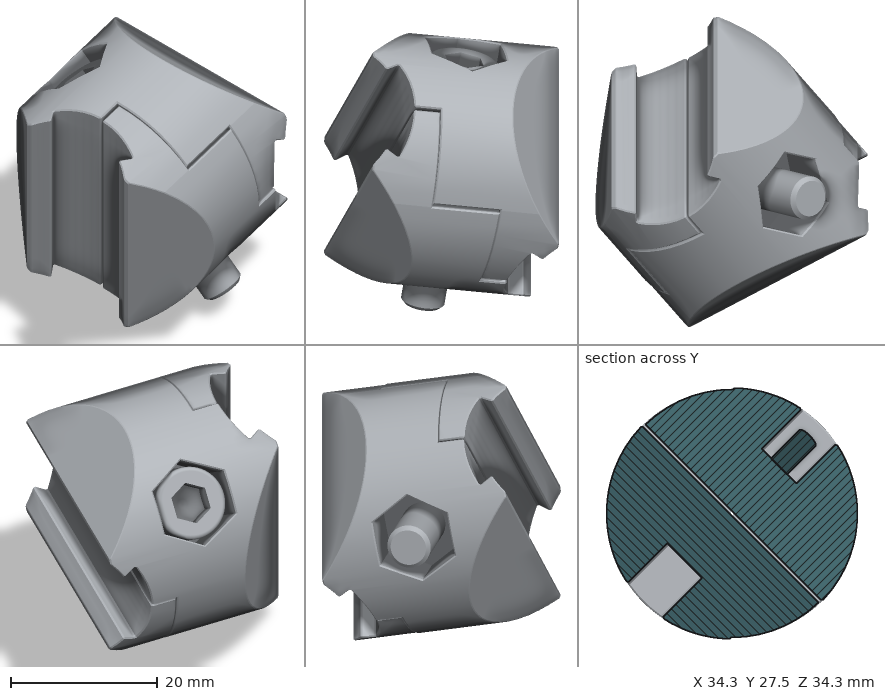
import cadquery as cq
import math

barrel_radius = 17.15
barrel_length = 27.5
half_length = barrel_length / 2
flank_reach = 22.48
end_half_width = flank_reach - half_length

tube_axis_offset = 22.2
lip_radius = 11.67
groove_radius = 13.75
groove_half_angle = math.radians(30)

parting_gap = 0.4
slot_gap = 0.3
step_height = 4.75

edge_chamfer = 0.2
fine_chamfer = 0.1

screw_diameter = 6.0
screw_tip_diameter = 4.9
shank_length = 30.0
head_diameter = 10.0
head_height = 6.0
head_fillet = 0.6
socket_width = 4.98
socket_depth = 3.05
socket_cone_angle = math.radians(30)
seat_height = 9.13
pocket_width = 10.5

CORNERS_PER_FLATS = 2 / math.sqrt(3)
TOLERANCE = 0.005
clear_size = 4 * barrel_radius
SCREW_AXIS = cq.Vector(-1, 0, 1).normalized()


class EdgeRule(cq.Selector):
    """Keeps the edges for which a test on the edge is true."""

    def __init__(self, test):
        self.test = test

    def filter(self, objects):
        return [edge for edge in objects if self.test(edge)]


def screw_workplane(height):
    """Workplane across the screw axis, at a height above the barrel axis."""
    origin = (SCREW_AXIS * height).toTuple()
    return cq.Workplane(cq.Plane(origin=origin, xDir=(1, 0, 1), normal=SCREW_AXIS.toTuple()))


def half_space(direction, start):
    """Large block that fills everything beyond a distance along a direction."""
    origin = (cq.Vector(*direction) * start).toTuple()
    plane = cq.Plane(origin=origin, normal=direction)
    return cq.Workplane(plane).rect(clear_size, clear_size).extrude(clear_size)


def core_side():
    """Space on the first half's side of the diagonal parting."""
    return half_space(SCREW_AXIS.toTuple(), parting_gap / 2)


def swap_ends(body):
    """Half turn about the screw axis: swaps X with Z and the -Y end with the +Y end."""
    return body.rotate((0, 0, 0), SCREW_AXIS.toTuple(), 180)


def barrel_half():
    """Diagonal half of the barrel, cut back to the slot faces beyond the steps."""
    cylinder = cq.Workplane("XZ").circle(barrel_radius).extrude(half_length, both=True)
    beyond_step = half_space((0, -1, 0), step_height)
    slot_cut = half_space((1, 0, 0), -slot_gap / 2).intersect(beyond_step)
    return cylinder.intersect(core_side()).cut(slot_cut).cut(swap_ends(slot_cut))


def lower_tongue():
    """Part of the -Y end past the diagonal: its round side is the barrel mirrored across the parting face."""
    center = SCREW_AXIS * parting_gap
    plane = cq.Plane(origin=(center.x, -step_height, center.z), xDir=(1, 0, 0), normal=(0, -1, 0))
    return (
        cq.Workplane(plane)
        .circle(barrel_radius)
        .extrude(half_length - step_height)
        .faces(">Y")
        .chamfer(edge_chamfer)
        .intersect(half_space((-1, 0, 0), slot_gap / 2))
        .cut(core_side())
    )


def is_lip_tip(edge):
    """Where the lip bore meets the end face of the groove profile."""
    center = edge.Center()
    on_end_face = abs(center.y + half_length) < TOLERANCE
    return on_end_face and abs(center.z) < TOLERANCE and abs(center.x) < end_half_width - TOLERANCE


def is_groove_corner(edge):
    """Where the radial groove walls meet the lip bore and the groove floor."""
    center = edge.Center()
    if abs(center.z) > TOLERANCE or center.y > 0:
        return False
    angle = math.atan2(abs(center.x), center.y + tube_axis_offset)
    return abs(angle - groove_half_angle) < TOLERANCE


def lower_end_profile():
    """Prism along Z: 45 degree flanks and a lipped tube groove at the -Y end."""
    top_half_width = flank_reach + half_length
    prism = (
        cq.Workplane("XY")
        .polyline([
            (-end_half_width, -half_length),
            (end_half_width, -half_length),
            (top_half_width, half_length),
            (-top_half_width, half_length),
        ])
        .close()
        .extrude(clear_size / 2, both=True)
    )
    tube_axis = cq.Workplane("XY").center(0, -tube_axis_offset)
    bore = tube_axis.circle(lip_radius).extrude(clear_size / 2, both=True)
    sector_height = 2 * groove_radius
    sector_half_width = sector_height * math.tan(groove_half_angle)
    sector = (
        tube_axis
        .polyline([(0, 0), (sector_half_width, sector_height), (-sector_half_width, sector_height)])
        .close()
        .extrude(clear_size / 2, both=True)
    )
    groove = tube_axis.circle(groove_radius).extrude(clear_size / 2, both=True).intersect(sector)
    profile = prism.cut(bore).cut(groove)
    profile = profile.edges(EdgeRule(is_lip_tip)).chamfer(fine_chamfer)
    return profile.edges(EdgeRule(is_groove_corner)).chamfer(edge_chamfer)


def axis_distance(point):
    return math.hypot(point.x, point.z)


def is_on_barrel(edge):
    """True when the whole edge lies on the round side of the barrel or of a tongue."""
    points = [edge.positionAt(t) for t in (0, 0.5, 1)]
    return all(axis_distance(point) > barrel_radius - parting_gap for point in points)


def is_flank_outline(edge):
    """Where a 45 degree flank meets the round side."""
    def on_flank(point):
        reach_x = abs(point.x) + abs(point.y)
        reach_z = abs(point.z) + abs(point.y)
        return min(abs(reach_x - flank_reach), abs(reach_z - flank_reach)) < TOLERANCE

    return is_on_barrel(edge) and all(on_flank(edge.positionAt(t)) for t in (0.1, 0.5, 0.9))


def is_tongue_seam(edge):
    """Smooth line between the barrel and a tongue, along Y beyond the steps."""
    start = edge.positionAt(0)
    end = edge.positionAt(1)
    along_y = math.hypot(start.x - end.x, start.z - end.z) < TOLERANCE
    middle = edge.Center()
    near_diagonal = abs(middle.x - middle.z) < 2 * parting_gap
    return along_y and near_diagonal and abs(middle.y) > step_height


def is_tongue_step(edge):
    """Outline of a tongue at its step, which is chamfered already."""
    middle = edge.positionAt(0.5)
    near_step = abs(abs(middle.y) - step_height) < 2 * edge_chamfer
    return near_step and axis_distance(middle) < barrel_radius - 0.1 * edge_chamfer


def is_slot_mouth(edge):
    """Where a slot face opens into the floor of the tube groove."""
    floor_height = tube_axis_offset - groove_radius
    spans_barrel = edge.Length() > barrel_radius
    return spans_barrel and abs(abs(edge.Center().y) - floor_height) < 10 * TOLERANCE


def is_broken_edge(edge):
    outline = is_on_barrel(edge) and not is_tongue_seam(edge) and not is_tongue_step(edge)
    return (outline and not is_flank_outline(edge)) or is_slot_mouth(edge)


def clamp_half():
    tongue = lower_tongue()
    end_profile = lower_end_profile()
    pocket = screw_workplane(seat_height).polygon(6, pocket_width * CORNERS_PER_FLATS).extrude(barrel_radius)
    hole = screw_workplane(0).circle(screw_diameter / 2).extrude(clear_size, both=True)
    return (
        barrel_half()
        .union(tongue)
        .union(swap_ends(tongue))
        .intersect(end_profile)
        .intersect(swap_ends(end_profile))
        .cut(pocket)
        .cut(hole)
        .edges(EdgeRule(is_broken_edge))
        .chamfer(edge_chamfer)
        .edges(EdgeRule(is_flank_outline))
        .chamfer(fine_chamfer)
    )


def screw_socket(head_top):
    """Hexagonal socket that ends in a drill cone."""
    corner_radius = socket_width * CORNERS_PER_FLATS / 2
    cone_depth = corner_radius * math.tan(socket_cone_angle)
    hexagon = screw_workplane(head_top).polygon(6, 2 * corner_radius).extrude(-socket_depth - cone_depth)
    drill = screw_workplane(head_top).circle(corner_radius).extrude(-socket_depth)
    cone_base = SCREW_AXIS * (head_top - socket_depth)
    cone = cq.Workplane(cq.Solid.makeCone(corner_radius, 0, cone_depth, cone_base, SCREW_AXIS * -1))
    return hexagon.intersect(drill.union(cone))


def socket_cap_screw():
    head = (
        screw_workplane(seat_height)
        .circle(head_diameter / 2)
        .extrude(head_height)
        .faces(cq.DirectionMinMaxSelector(SCREW_AXIS, True))
        .edges()
        .fillet(head_fillet)
    )
    shank = (
        screw_workplane(seat_height)
        .circle(screw_diameter / 2)
        .extrude(-shank_length)
        .faces(cq.DirectionMinMaxSelector(SCREW_AXIS, False))
        .chamfer((screw_diameter - screw_tip_diameter) / 2)
    )
    return head.union(shank).cut(screw_socket(seat_height + head_height))


first_half = clamp_half()
second_half = first_half.rotate((0, 0, 0), (0, 1, 0), 180)
screw = socket_cap_screw()

result = cq.Compound.makeCompound([first_half.val(), second_half.val(), screw.val()])